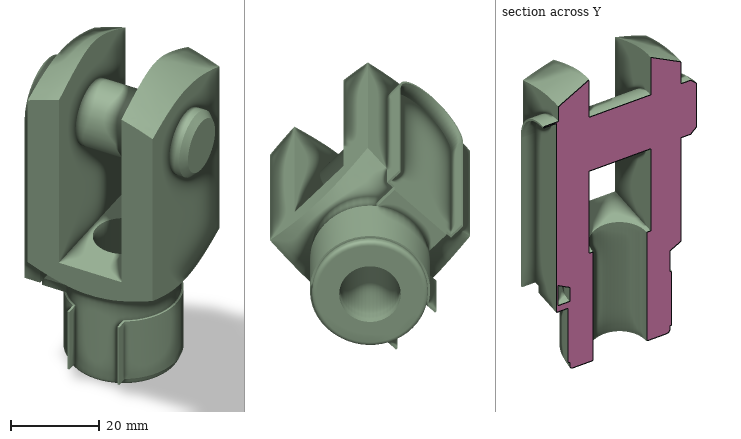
import cadquery as cq
import math

height = 83.0
body_width = 32.0
slot_width = body_width / 2
slot_floor_z = body_width
cone_slope = math.tan(math.radians(30))
top_radius = slot_width / 2
stem_radius = 13.1
stem_height = 24.0
stem_edge_fillet = 1.0
bore_radius = 7.0

pin_z = 64.0
pin_radius = slot_width / 2
pin_end_x = 20.0
pin_chamfer = 1.5

sheet = 0.5
tray_radius = 10.05
tray_front_x = -20.0
tray_bottom_z = 20.0
tongue_width = 16.3
collar_bottom_z = 2.0
collar_top_z = 18.0
collar_gap = 12.3
lip_end_y = -14.5

body_half = body_width / 2
tray_floor_x = -body_half - sheet


def make_fork():
    """Square bar trimmed by cones at both ends, with stem, slot and bore."""
    outer_radius = body_width
    lower_cone_z = stem_height + (outer_radius - stem_radius) * cone_slope
    upper_cone_z = height - (outer_radius - top_radius) * cone_slope
    turned = (
        cq.Workplane("XZ")
        .polyline([
            (0, 0),
            (stem_radius, 0),
            (stem_radius, stem_height),
            (outer_radius, lower_cone_z),
            (outer_radius, upper_cone_z),
            (top_radius, height),
            (0, height),
        ])
        .close()
        .revolve(360, (0, 0, 0), (0, 1, 0))
    )
    square_bar = cq.Workplane("XY").rect(body_width, body_width).extrude(height)
    fork = turned.intersect(square_bar).faces("<Z").edges().fillet(stem_edge_fillet)
    slot = (
        cq.Workplane("XY", origin=(0, 0, slot_floor_z))
        .rect(slot_width, body_width)
        .extrude(height - slot_floor_z)
    )
    bore = cq.Workplane("XY").circle(bore_radius).extrude(slot_floor_z)
    return fork.cut(slot).cut(bore)


def make_pin():
    """Pin from the clip floor through both fork arms, chamfered at its free end."""
    return (
        cq.Workplane("YZ", origin=(tray_floor_x, 0, pin_z))
        .circle(pin_radius)
        .extrude(pin_end_x - tray_floor_x)
        .faces(">X")
        .chamfer(pin_chamfer)
    )


def arched_plate(start_x, end_x, radius, bottom_z):
    """Plate normal to X with a round top concentric with the pin."""
    return (
        cq.Workplane("YZ", origin=(start_x, 0, 0))
        .moveTo(-radius, bottom_z)
        .lineTo(-radius, pin_z)
        .threePointArc((0, pin_z + radius), (radius, pin_z))
        .lineTo(radius, bottom_z)
        .close()
        .extrude(end_x - start_x)
    )


def make_tray():
    """Thin rim around an arched floor, open outward and at the bottom."""
    block = arched_plate(tray_front_x, -body_half, tray_radius, tray_bottom_z)
    recess = arched_plate(tray_front_x, tray_floor_x, tray_radius - sheet, tray_bottom_z)
    return block.cut(recess)


def make_collar():
    """Open ring around the stem, with two lips and a tongue up to the tray."""
    collar_radius = stem_radius + sheet
    collar_height = collar_top_z - collar_bottom_z
    base = cq.Workplane("XY", origin=(0, 0, collar_bottom_z))
    stem_core = cq.Workplane("XY").circle(stem_radius).extrude(tray_bottom_z)
    ring = base.circle(collar_radius).extrude(collar_height)
    gap = base.center(0, -collar_radius).rect(collar_gap, 2 * collar_radius).extrude(collar_height)
    collar = ring.cut(gap)
    for side in (-1, 1):
        lip = (
            base.center(side * (collar_gap + sheet) / 2, lip_end_y / 2)
            .rect(sheet, -lip_end_y)
            .extrude(collar_height)
        )
        collar = collar.union(lip)
    tongue = (
        cq.Workplane("XY", origin=(tray_floor_x / 2, 0, collar_top_z))
        .rect(-tray_floor_x, tongue_width)
        .extrude(tray_bottom_z - collar_top_z)
    )
    return collar.union(tongue).cut(stem_core)


result = make_fork().union(make_pin()).union(make_tray()).union(make_collar())